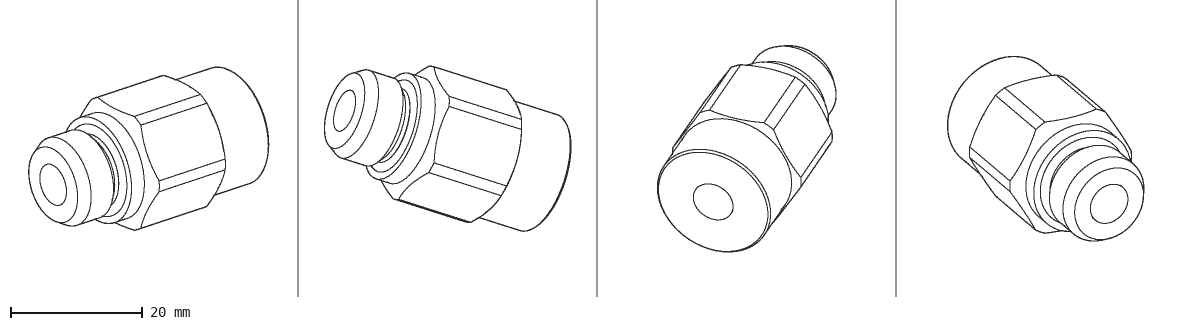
import cadquery as cq
import math

overall_length = 34.7
bore_diameter = 6.5

spigot_diameter = 14.0
tip_length = 1.8
tip_angle = 30.0
spigot_end = 6.15
undercut_diameter = 11.7

ring_diameter = 14.57
ring_start = 7.8
ring_section_radius = 0.85

collar_diameter = 16.8
collar_start = 8.5
collar_end = 11.0
hex_across_flats = 19.0
hex_corner_diameter = 21.0
hex_end = 25.75
hex_bevel_angle = 30.0
sleeve_diameter = 18.5
sleeve_chamfer_length = 0.35
sleeve_chamfer_depth = 0.3

spigot_radius = spigot_diameter / 2
undercut_radius = undercut_diameter / 2
ring_radius = ring_diameter / 2
collar_radius = collar_diameter / 2
corner_radius = hex_corner_diameter / 2
sleeve_radius = sleeve_diameter / 2

bevel_slope = math.tan(math.radians(hex_bevel_angle))


def turn(profile):
    """Revolve a closed radius / length profile about the Y axis."""
    return profile.close().revolve(360, (0, 0, 0), (0, 1, 0))


def make_spigot():
    tip_radius = spigot_radius - tip_length * math.tan(math.radians(tip_angle))
    undercut_start = spigot_end + spigot_radius - undercut_radius
    return turn(
        cq.Workplane("XY")
        .lineTo(tip_radius, 0)
        .lineTo(spigot_radius, tip_length)
        .lineTo(spigot_radius, spigot_end)
        .lineTo(undercut_radius, undercut_start)
        .lineTo(undercut_radius, collar_start)
        .lineTo(0, collar_start)
    )


def make_ring():
    """Round-section ring, partly sunk into the collar and the undercut."""
    section_center = (ring_radius - ring_section_radius, ring_start + ring_section_radius)
    section = cq.Workplane("XY").moveTo(*section_center).circle(ring_section_radius)
    return section.revolve(360, (0, 0, 0), (0, 1, 0))


def make_hexagon():
    """Hexagon with its flats facing +Z and -Z, trimmed by a bevelled round envelope."""
    front_bevel_end = collar_end + (corner_radius - collar_radius) * bevel_slope
    rear_bevel_start = hex_end - (corner_radius - sleeve_radius) * bevel_slope
    envelope = turn(
        cq.Workplane("XY")
        .moveTo(0, collar_end)
        .lineTo(collar_radius, collar_end)
        .lineTo(corner_radius, front_bevel_end)
        .lineTo(corner_radius, rear_bevel_start)
        .lineTo(sleeve_radius, hex_end)
        .lineTo(0, hex_end)
    )
    sharp_corner_diameter = hex_across_flats / math.cos(math.pi / 6)
    prism = cq.Workplane("XZ").polygon(6, sharp_corner_diameter).extrude(-overall_length)
    return prism.intersect(envelope)


def make_collar():
    return turn(
        cq.Workplane("XY")
        .moveTo(0, collar_start)
        .lineTo(collar_radius, collar_start)
        .lineTo(collar_radius, collar_end)
        .lineTo(0, collar_end)
    )


def make_sleeve():
    return turn(
        cq.Workplane("XY")
        .moveTo(0, hex_end)
        .lineTo(sleeve_radius, hex_end)
        .lineTo(sleeve_radius, overall_length - sleeve_chamfer_length)
        .lineTo(sleeve_radius - sleeve_chamfer_depth, overall_length)
        .lineTo(0, overall_length)
    )


bore = cq.Workplane("XZ").circle(bore_diameter / 2).extrude(-overall_length)

result = (
    make_spigot()
    .union(make_ring())
    .union(make_collar())
    .union(make_hexagon())
    .union(make_sleeve())
    .cut(bore)
)